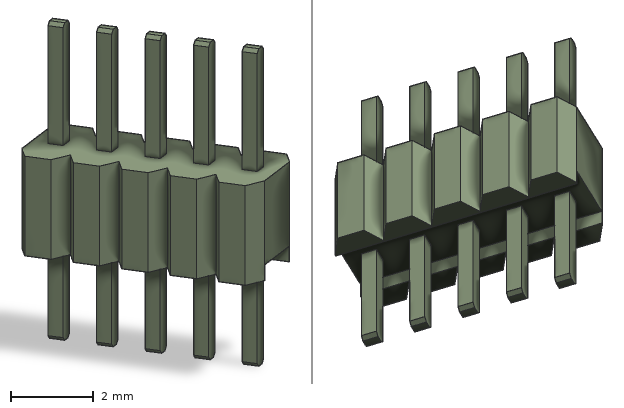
import cadquery as cq

pin_count = 5
pitch = 1.27
total_height = 8.1

body_depth = 2.6
body_height = 2.54
notch_depth = 0.51
notch_half_width = 0.29

slot_width = 1.5
slot_height = 0.4

pin_size = 0.4
pin_tip_chamfer = 0.1
pin_length_below_body = 2.455

body_length = pin_count * pitch
body_bottom = -total_height / 2 + pin_length_below_body
pin_positions = [((i - (pin_count - 1) / 2) * pitch, 0) for i in range(pin_count)]


def make_cell():
    """One octagonal housing cell, with its four vertical corners cut off."""
    half_length = pitch / 2
    half_depth = body_depth / 2
    flat_half_length = half_length - notch_half_width
    side_half_depth = half_depth - notch_depth
    outline = [
        (half_length, side_half_depth),
        (flat_half_length, half_depth),
        (-flat_half_length, half_depth),
        (-half_length, side_half_depth),
        (-half_length, -side_half_depth),
        (-flat_half_length, -half_depth),
        (flat_half_length, -half_depth),
        (half_length, -side_half_depth),
    ]
    return cq.Workplane("XY").polyline(outline).close().extrude(body_height)


def make_body():
    """A row of cells joined side by side, with a slot along the underside."""
    body = cq.Workplane("XY")
    for x, y in pin_positions:
        body = body.union(make_cell().translate((x, y, body_bottom)))
    slot = (
        cq.Workplane("XY")
        .box(body_length, slot_width, slot_height, centered=(True, True, False))
        .translate((0, 0, body_bottom))
    )
    return body.cut(slot)


def make_pin():
    """A square pin whose two ends are chamfered on the front and back only."""
    return (
        cq.Workplane("XY")
        .box(pin_size, pin_size, total_height)
        .faces("<Z or >Z")
        .edges("|X")
        .chamfer(pin_tip_chamfer)
    )


result = make_body()
for x, y in pin_positions:
    result = result.union(make_pin().translate((x, y, 0)))